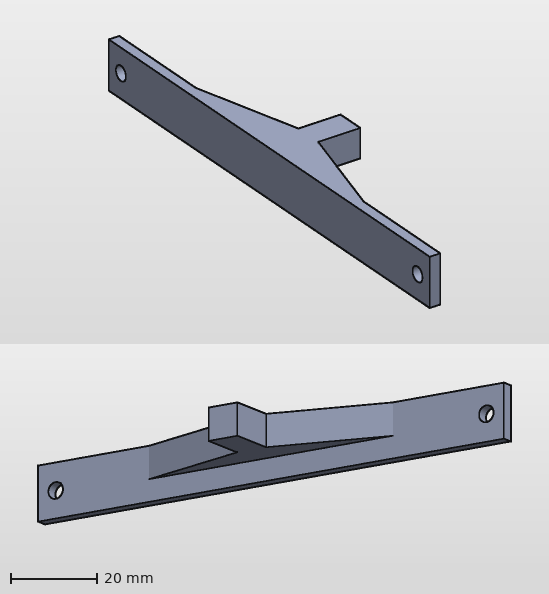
import cadquery as cq

plate_length = 130.0
plate_height = 13.5
plate_thickness = 3.0
hole_diameter = 4.0
hole_edge_distance = 5.0

total_depth = 23.0
stem_length = 12.0
stem_width = 8.0
web_base_width = 68.0
arm_height = 8.0


def make_plate():
    """Flat plate with a through hole near each end, at mid height."""
    hole_spacing = plate_length - 2 * hole_edge_distance
    return (
        cq.Workplane("XY")
        .box(plate_length, plate_thickness, plate_height, centered=(True, False, False))
        .faces("<Y")
        .workplane(centerOption="CenterOfBoundBox")
        .rarray(hole_spacing, 1.3, 2, 1)
        .hole(hole_diameter)
    )


def make_arm():
    """Web that narrows away from the plate into a straight stem."""
    stem_start = total_depth - stem_length
    half_base = web_base_width / 2
    half_stem = stem_width / 2
    return (
        cq.Workplane("XY")
        .workplane(offset=plate_height - arm_height)
        .moveTo(-half_base, plate_thickness)
        .lineTo(half_base, plate_thickness)
        .lineTo(half_stem, stem_start)
        .lineTo(half_stem, total_depth)
        .lineTo(-half_stem, total_depth)
        .lineTo(-half_stem, stem_start)
        .close()
        .extrude(arm_height)
    )


result = make_plate().union(make_arm())